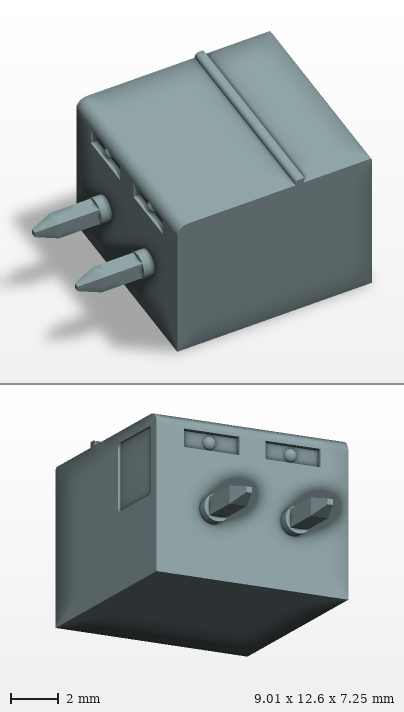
import cadquery as cq

body_width = 9.01
body_depth = 9.2
body_height = 7.0
front_edge_radius = 0.5
rear_edge_radius = 0.1

ridge_height = 0.25
ridge_depth = 0.4
ridge_front_y = 5.6
ridge_edge_radius = 0.18

pin_pitch = 3.81
pin_positions = (-pin_pitch / 2, pin_pitch / 2)
pin_z = 3.0
collar_diameter = 1.2
collar_length = 0.5
pin_side = 0.8
shank_length = 1.9
tip_length = 1.0
tip_side = 0.25

window_width = 2.6
window_height = 0.8
window_z = 6.0
window_depth = 0.3
bump_radius = 0.3

panel_side = 3.0
panel_margin = 0.5
panel_corner_radius = 0.2
panel_recess = 0.1


def make_body():
    """Block with a rounded front top edge and a slightly rounded rear top edge."""
    block = cq.Workplane("XY").box(body_width, body_depth, body_height, centered=(True, False, False))
    block = block.edges("<Y and >Z").fillet(front_edge_radius)
    return block.edges(">Y and >Z").fillet(rear_edge_radius)


def make_ridge():
    """Full-width rib with a rounded front top edge."""
    rib = cq.Workplane("XY").box(body_width, ridge_depth, ridge_height, centered=(True, False, False))
    rib = rib.edges("<Y and >Z").fillet(ridge_edge_radius)
    return rib.translate((0, ridge_front_y, body_height))


def make_pin(x):
    """Round collar, square shank and tapered tip, pointing toward -Y."""
    collar = cq.Workplane("XZ").center(x, pin_z).circle(collar_diameter / 2).extrude(collar_length)
    shank = (
        cq.Workplane("XZ", origin=(x, -collar_length, pin_z))
        .rect(pin_side, pin_side)
        .extrude(shank_length)
    )
    tip = (
        cq.Workplane("XZ", origin=(x, -collar_length - shank_length, pin_z))
        .rect(pin_side, pin_side)
        .workplane(offset=tip_length)
        .rect(tip_side, tip_side)
        .loft(ruled=True)
    )
    return collar.union(shank).union(tip)


def make_window(x):
    """Pocket volume with the bump left standing on the pocket floor."""
    pocket = (
        cq.Workplane("XZ")
        .center(x, window_z)
        .rect(window_width, window_height)
        .extrude(-window_depth)
    )
    bump = cq.Workplane("XZ", origin=(x, window_depth, window_z)).sphere(bump_radius)
    return pocket.cut(bump)


def make_panel():
    """Recess volume for the rounded square panel on the -X face."""
    panel = cq.Workplane("XY").box(panel_recess, panel_side, panel_side, centered=False)
    panel = panel.edges("|X").fillet(panel_corner_radius)
    panel_bottom = body_height - panel_margin - panel_side
    return panel.translate((-body_width / 2, panel_margin, panel_bottom))


result = make_body().union(make_ridge())
for pin_x in pin_positions:
    result = result.union(make_pin(pin_x))
    result = result.cut(make_window(pin_x))
result = result.cut(make_panel())